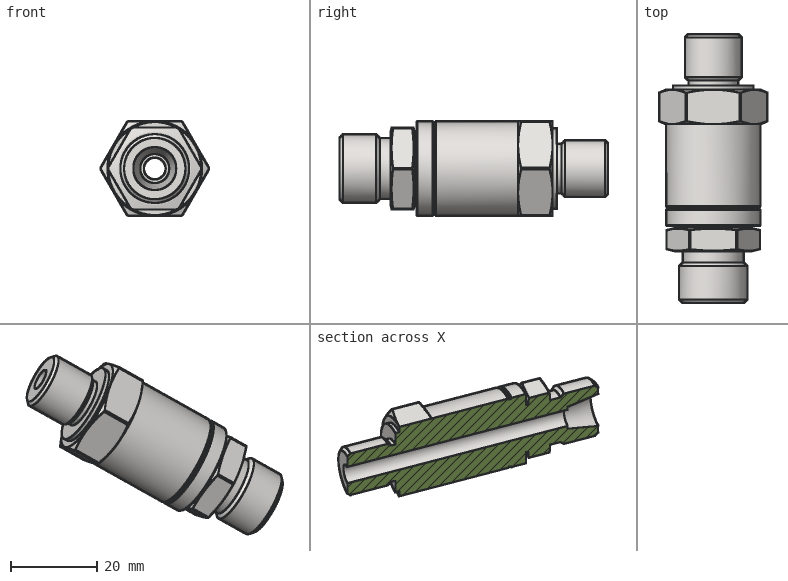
import cadquery as cq
import math

LENGTH = 62.5

tube_thread_radius = 8.0
tube_neck_radius = 7.1
tube_end_chamfer = 0.9
tube_thread_end = 8.55
tube_neck_start = tube_thread_end + tube_thread_radius - tube_neck_radius

small_hex_start = 11.95
small_hex_end = 17.5
small_hex_flats = 19.0
small_hex_corner_radius = 10.9
small_hex_face_radius = 8.5
small_hex_chamfer_length = 0.55

gap_radius = 7.55
collar_start = 17.95
body_radius = 11.0
collar_chamfer = 0.2
groove_start = 21.6
groove_end = 22.5
groove_depth = 0.3

large_hex_start = 41.55
large_hex_end = 49.55
large_hex_flats = 2 * body_radius
large_hex_corner_radius = 12.595
large_hex_face_radius = 11.0
large_hex_chamfer_length = 0.7

flange_radius = 9.4
flange_end = 50.55
port_neck_radius = 5.8
port_thread_radius = 6.6
port_thread_start = 52.5
port_neck_end = port_thread_start - (port_thread_radius - port_neck_radius)
port_end_chamfer = 0.75

bore_radius = 2.5
seat_mouth_radius = 5.0
seat_bottom_radius = 3.4
seat_half_angle = 12.0
seat_depth = (seat_mouth_radius - seat_bottom_radius) / math.tan(math.radians(seat_half_angle))


def turned(outline):
    """Revolve an outline of (radius, station) points, closed along the axis, about Y."""
    first_station = outline[0][1]
    last_station = outline[-1][1]
    points = [(0, first_station)] + outline + [(0, last_station)]
    return cq.Workplane("XY").polyline(points).close().revolve(360, (0, 0, 0), (0, 1, 0))


def chamfered_hex(start, end, flats, corner_radius, face_radius, chamfer_length):
    """Hexagon with corners on +/-X, its corners turned down and chamfered at both faces."""
    corner_diameter = flats / math.cos(math.radians(30))
    prism = (
        cq.Workplane("XZ", origin=(0, start, 0))
        .polygon(6, corner_diameter)
        .extrude(start - end)
    )
    envelope = turned([
        (face_radius, start),
        (corner_radius, start + chamfer_length),
        (corner_radius, end - chamfer_length),
        (face_radius, end),
    ])
    return prism.intersect(envelope)


core = turned([
    (tube_thread_radius - tube_end_chamfer, 0),
    (tube_thread_radius, tube_end_chamfer),
    (tube_thread_radius, tube_thread_end),
    (tube_neck_radius, tube_neck_start),
    (tube_neck_radius, small_hex_start),
    (gap_radius, small_hex_start),
    (gap_radius, collar_start),
    (body_radius - collar_chamfer, collar_start),
    (body_radius, collar_start + collar_chamfer),
    (body_radius, groove_start),
    (body_radius - groove_depth, groove_start + groove_depth),
    (body_radius - groove_depth, groove_end - groove_depth),
    (body_radius, groove_end),
    (body_radius, large_hex_start),
    (flange_radius, large_hex_start),
    (flange_radius, flange_end),
    (port_neck_radius, flange_end),
    (port_neck_radius, port_neck_end),
    (port_thread_radius, port_thread_start),
    (port_thread_radius, LENGTH - port_end_chamfer),
    (port_thread_radius - port_end_chamfer, LENGTH),
])

small_hex = chamfered_hex(
    small_hex_start, small_hex_end, small_hex_flats,
    small_hex_corner_radius, small_hex_face_radius, small_hex_chamfer_length,
)

large_hex = chamfered_hex(
    large_hex_start, large_hex_end, large_hex_flats,
    large_hex_corner_radius, large_hex_face_radius, large_hex_chamfer_length,
)

bore = turned([
    (seat_mouth_radius, 0),
    (seat_bottom_radius, seat_depth),
    (bore_radius, seat_depth),
    (bore_radius, LENGTH),
])

result = core.union(small_hex).union(large_hex).cut(bore)